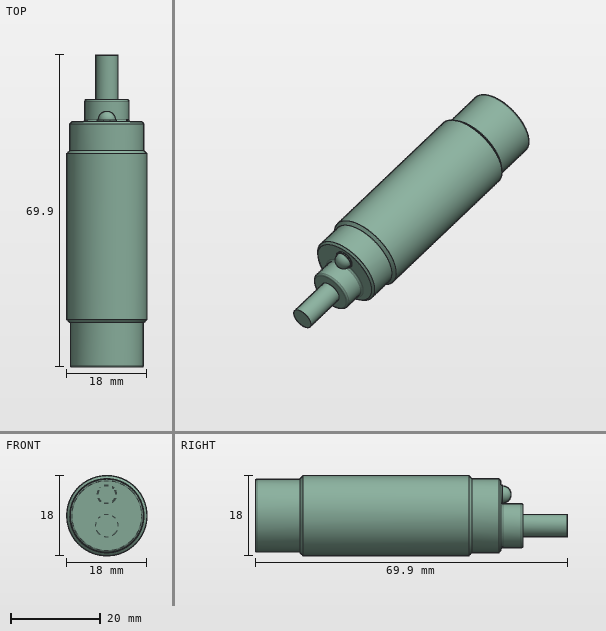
import cadquery as cq

overall_length = 69.9

nose_radius = 8.2
nose_length = 10.0
nose_edge_fillet = 0.35

body_radius = 9.0
body_end = 48.5
body_chamfer = 0.7

cap_radius = 8.3
cap_end = 55.0
cap_chamfer = 0.5

cable_offset = -2.25
gland_radius = 4.95
gland_end = 60.0
gland_edge_fillet = 0.4
gland_root_fillet = 0.4

cable_radius = 2.5

lamp_offset = 4.75
lamp_collar_radius = 2.2
lamp_dome_radius = 1.95
lamp_collar_length = 0.35

embed = 0.7


def cylinder(radius, start, end, z=0.0):
    """Solid cylinder along +Y from start to end, centred on X = 0 and the given Z."""
    axis_point = cq.Vector(0, start, z)
    return cq.Workplane(cq.Solid.makeCylinder(radius, end - start, axis_point, cq.Vector(0, 1, 0)))


def make_housing():
    """Nose, main body and rear cap on the central axis."""
    nose = cylinder(nose_radius, 0, nose_length + embed).faces("<Y").edges().fillet(nose_edge_fillet)
    body = cylinder(body_radius, nose_length, body_end).edges("%CIRCLE").chamfer(body_chamfer)
    cap = cylinder(cap_radius, body_end - embed, cap_end).faces(">Y").edges().chamfer(cap_chamfer)
    return nose.union(body).union(cap)


def make_gland():
    """Cable gland with a rounded rear edge and a flared root, as one revolved profile."""
    rim_radius = gland_radius - gland_edge_fillet
    root_radius = gland_radius + gland_root_fillet
    diagonal = 0.5 ** 0.5
    rim_middle = (
        rim_radius + gland_edge_fillet * diagonal,
        gland_end - gland_edge_fillet * (1 - diagonal),
    )
    root_middle = (
        root_radius - gland_root_fillet * diagonal,
        cap_end + gland_root_fillet * (1 - diagonal),
    )
    profile = (
        cq.Workplane("XY", origin=(0, 0, cable_offset))
        .moveTo(0, cap_end - embed)
        .lineTo(root_radius, cap_end - embed)
        .lineTo(root_radius, cap_end)
        .threePointArc(root_middle, (gland_radius, cap_end + gland_root_fillet))
        .lineTo(gland_radius, gland_end - gland_edge_fillet)
        .threePointArc(rim_middle, (rim_radius, gland_end))
        .lineTo(0, gland_end)
        .close()
    )
    return profile.revolve(360, (0, 0, 0), (0, 1, 0))


def make_lamp():
    """Domed indicator lamp on a slightly wider collar, on the rear face, above the gland."""
    dome_center = cap_end + lamp_collar_length
    collar = cylinder(lamp_collar_radius, cap_end - embed, dome_center, lamp_offset)
    dome = cq.Workplane("XY", origin=(0, dome_center, lamp_offset)).sphere(lamp_dome_radius)
    return collar.union(dome)


cable = cylinder(cable_radius, gland_end - embed, overall_length, cable_offset)

result = make_housing().union(make_gland()).union(make_lamp()).union(cable)